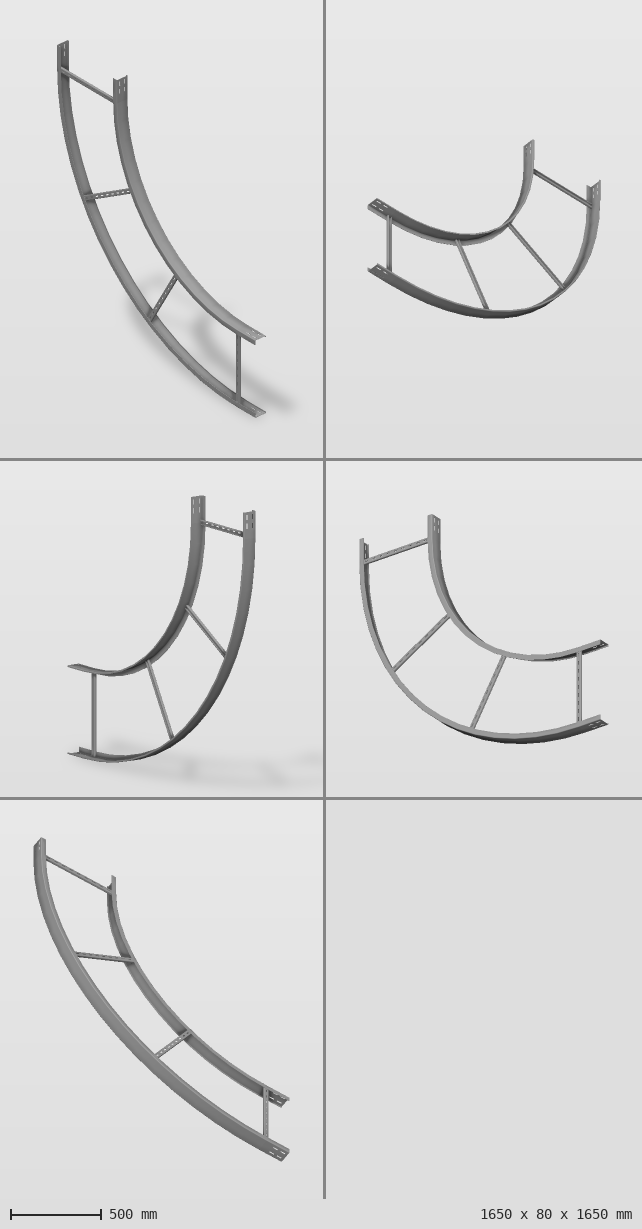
import cadquery as cq
import math

overall = 1650.0
straight_length = 150.0
tray_width = 500.0
rail_height = 80.0
flange_width = 31.0
lip_width = 10.0
sheet = 2.0
bend_outside = 4.0

splice_slot_length = 30.0
splice_slot_width = 7.0
splice_slot_pitch = 50.0
splice_row_spacing = 36.0
splice_first_offset = 30.0

rung_count = 4
rung_width = 30.0
rung_depth = 15.0
rung_bend_outside = 3.0
rung_gap = 16.0
rung_slot_count = 9
rung_slot_pitch = tray_width / (rung_slot_count + 1)
rung_slot_length = 23.0
rung_slot_width = 7.0

outer_radius = overall - straight_length
inner_radius = outer_radius - tray_width
half_height = rail_height / 2
bend_angle = 90.0
slot_cutter_length = 4 * sheet


def rail_path(radius):
    """Path of a rail along its web: straight down, quarter bend, straight to +X."""
    mid = -radius * math.sqrt(0.5)
    return (
        cq.Workplane("XZ")
        .moveTo(-radius, straight_length)
        .lineTo(-radius, 0)
        .threePointArc((mid, mid), (0, -radius))
        .lineTo(straight_length, -radius)
    )


def splice_slots(radius):
    """Cutters for the splice slots through a rail web at both ends."""
    slot_centres = [
        (straight_length - splice_first_offset - column * splice_slot_pitch, side * splice_row_spacing / 2)
        for column in range(2)
        for side in (-1, 1)
    ]
    horizontal_end = (
        cq.Workplane("XY", origin=(0, 0, -radius))
        .pushPoints(slot_centres)
        .rect(splice_slot_length, splice_slot_width)
        .extrude(slot_cutter_length / 2, both=True)
    )
    vertical_end = (
        cq.Workplane("YZ", origin=(-radius, 0, 0))
        .pushPoints([(y, z) for z, y in slot_centres])
        .rect(splice_slot_width, splice_slot_length)
        .extrude(slot_cutter_length / 2, both=True)
    )
    return horizontal_end.union(vertical_end)


def rail(radius, flange_direction):
    """C-channel rail with the outer face of its web at the given bend radius.

    flange_direction is +1 when the flanges point towards the bend centre, -1 when away from it.
    """
    inside = half_height - sheet
    bend_edge = half_height - bend_outside

    def x_at(depth):
        """X of the point at this depth behind the outer face of the web."""
        return flange_direction * depth - radius

    channel = (
        cq.Workplane("XY", origin=(0, 0, straight_length))
        .moveTo(x_at(0), -bend_edge)
        .lineTo(x_at(0), bend_edge)
        .tangentArcPoint((x_at(bend_outside), half_height), relative=False)
        .lineTo(x_at(lip_width), half_height)
        .lineTo(x_at(lip_width), inside)
        .lineTo(x_at(bend_outside), inside)
        .tangentArcPoint((x_at(sheet), bend_edge), relative=False)
        .lineTo(x_at(sheet), -bend_edge)
        .tangentArcPoint((x_at(bend_outside), -inside), relative=False)
        .lineTo(x_at(flange_width), -inside)
        .lineTo(x_at(flange_width), -half_height)
        .lineTo(x_at(bend_outside), -half_height)
        .tangentArcPoint((x_at(0), -bend_edge), relative=False)
        .close()
        .sweep(rail_path(radius), clean=False)
    )
    return channel.cut(splice_slots(radius), clean=False)


def rung(angle):
    """Slotted lipped channel between the two rail webs, turned about the bend axis."""
    start = inner_radius + sheet
    length = outer_radius - sheet - start
    front = sheet - half_height
    middle = front + rung_depth / 2
    outside = (
        cq.Workplane("YZ", origin=(-start, middle, 0))
        .rect(rung_depth, rung_width)
        .extrude(-length)
        .edges("|X")
        .fillet(rung_bend_outside)
    )
    hollow = (
        cq.Workplane("YZ", origin=(-start, middle, 0))
        .rect(rung_depth - 2 * sheet, rung_width - 2 * sheet)
        .extrude(-length)
        .edges("|X")
        .fillet(rung_bend_outside - sheet)
    )
    opening = (
        cq.Workplane("YZ", origin=(-start, front + rung_depth, 0))
        .rect(rung_depth, rung_gap)
        .extrude(-length)
    )
    body = outside.cut(hollow).cut(opening)
    slots = (
        cq.Workplane("XZ", origin=(-start - length / 2, front + slot_cutter_length / 2, 0))
        .rarray(rung_slot_pitch, 16, rung_slot_count, 1)
        .rect(rung_slot_length, rung_slot_width)
        .extrude(slot_cutter_length)
    )
    return body.cut(slots).rotate((0, 0, 0), (0, 1, 0), -angle)


outer_rail = rail(outer_radius, 1)
inner_rail = rail(inner_radius, -1)

rung_step = bend_angle / (rung_count - 1)
rungs = [rung(index * rung_step).cut(outer_rail).cut(inner_rail) for index in range(rung_count)]

result = cq.Compound.makeCompound([outer_rail.val(), inner_rail.val(), *[r.val() for r in rungs]])